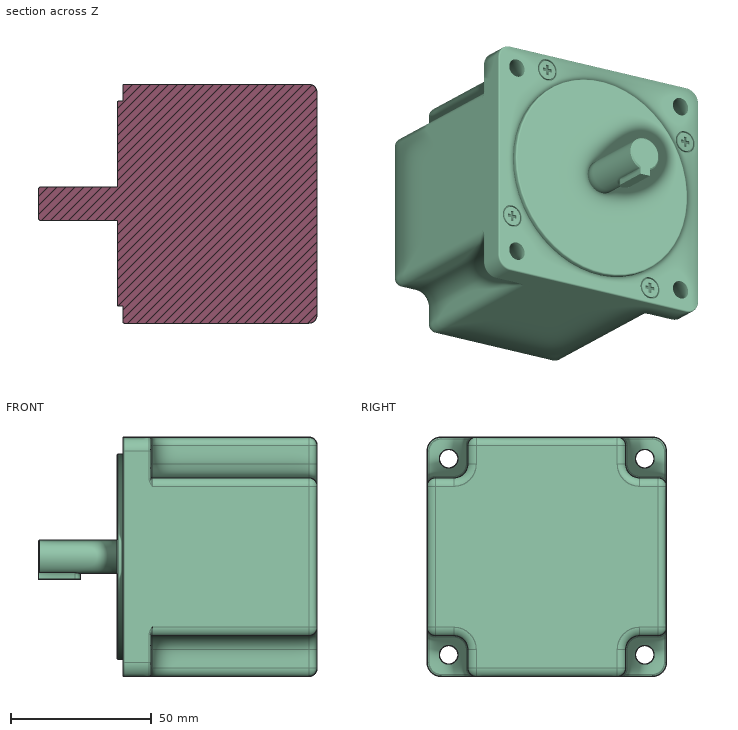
import cadquery as cq
import math


side = 85.0
housing_length = 69.0
body_edge_radius = 3.0

flange_thickness = 10.0
flange_corner_radius = 5.0
flange_front_fillet = 0.5
flange_back_fillet = 0.7

relief_size = 14.5
relief_inner_radius = 5.0
relief_root_fillet = 0.5

pilot_diameter = 73.0
pilot_height = 2.0
pilot_fillet = 0.5

shaft_diameter = 12.0
shaft_length = 30.0
shaft_chamfer = 0.5
key_width = 4.0
key_length = 15.0
key_reach = 8.0

hole_diameter = 6.5
hole_spacing = 69.6

screw_count = 4
screw_circle_radius = 42.8
first_screw_angle = 59.3
screw_seat_diameter = 8.0
screw_head_diameter = 6.8
screw_seat_depth = 1.0
cross_length = 3.8
cross_arm_width = 1.2
cross_depth = 1.0

half_side = side / 2
corner_signs = [(1, 1), (-1, 1), (-1, -1), (1, -1)]
selection_margin = 0.1


def yz_plane(x):
    """Workplane across the motor axis: local x is +Y, local y is +Z, normal is +X."""
    return cq.Workplane("YZ", origin=(x, 0, 0))


def flange_back_edges(first_corner, second_corner):
    """Selector for edges on the flange's back face inside a (y, z) rectangle."""
    return cq.selectors.BoxSelector(
        (flange_thickness - selection_margin, *first_corner),
        (flange_thickness + selection_margin, *second_corner),
    )


def make_body():
    """Housing with a cross-shaped section: a square relieved along each long corner."""
    arm_width = side - 2 * relief_size
    body = yz_plane(0).rect(side, arm_width).extrude(housing_length)
    body = body.union(yz_plane(0).rect(arm_width, side).extrude(housing_length))

    inner_reach = half_side - relief_size / 2
    inner_region = cq.selectors.BoxSelector(
        (0, -inner_reach, -inner_reach), (housing_length, inner_reach, inner_reach)
    )
    long_edges = cq.selectors.ParallelDirSelector(cq.Vector(1, 0, 0))
    body = body.edges(long_edges - inner_region).fillet(body_edge_radius)
    body = body.edges(long_edges & inner_region).fillet(relief_inner_radius)
    return body.faces(">X").edges().fillet(body_edge_radius)


def make_housing():
    """Body and flange in one piece, with a small fillet at the root of each relief.

    The root fillet is run around the body on an oversized plate, which is then
    trimmed to the rounded-square outline of the flange.
    """
    plate_side = 3 * side
    plate = yz_plane(0).rect(plate_side, plate_side).extrude(flange_thickness)
    outline = yz_plane(0).rect(side, side).extrude(housing_length)
    outline = outline.edges("|X").fillet(flange_corner_radius)
    body_root = flange_back_edges((-side, -side), (side, side))

    housing = plate.union(make_body()).edges(body_root).fillet(relief_root_fillet)
    housing = housing.intersect(outline)
    housing = housing.faces("<X").edges().fillet(flange_front_fillet)

    corner_start = half_side - relief_size + relief_inner_radius / 2
    for y_sign, z_sign in corner_signs:
        outer_edges = flange_back_edges(
            (y_sign * corner_start, z_sign * corner_start), (y_sign * side, z_sign * side)
        )
        housing = housing.edges(outer_edges).fillet(flange_back_fillet)
    return housing


def make_pilot():
    pilot = yz_plane(0).circle(pilot_diameter / 2).extrude(-pilot_height)
    return pilot.faces("<X").edges().fillet(pilot_fillet)


def make_shaft():
    shaft = yz_plane(0).circle(shaft_diameter / 2).extrude(-shaft_length)
    return shaft.faces("<X").edges().chamfer(shaft_chamfer)


def make_key():
    """Key on the -Z side of the shaft, flush with its tip and rounded at the inner end."""
    tip = -shaft_length
    inner_end = tip + key_length
    round_start = inner_end - key_width / 2
    return (
        cq.Workplane("XY")
        .moveTo(tip, -key_width / 2)
        .lineTo(round_start, -key_width / 2)
        .threePointArc((inner_end, 0), (round_start, key_width / 2))
        .lineTo(tip, key_width / 2)
        .close()
        .extrude(-key_reach)
    )


def make_mounting_holes():
    holes = yz_plane(0).rect(hole_spacing, hole_spacing, forConstruction=True).vertices()
    return holes.circle(hole_diameter / 2).extrude(flange_thickness)


def make_screw_cut(angle):
    """Ring gap around a flush screw head plus the cross recess in the head."""
    y = screw_circle_radius * math.cos(math.radians(angle))
    z = screw_circle_radius * math.sin(math.radians(angle))
    face = yz_plane(0).center(y, z)
    gap = face.circle(screw_seat_diameter / 2).circle(screw_head_diameter / 2).extrude(screw_seat_depth)
    upright = face.rect(cross_arm_width, cross_length).extrude(cross_depth)
    crossbar = face.rect(cross_length, cross_arm_width).extrude(cross_depth)
    return gap.union(upright).union(crossbar)


result = make_housing().union(make_pilot()).union(make_shaft()).union(make_key())
result = result.cut(make_mounting_holes())
for screw in range(screw_count):
    result = result.cut(make_screw_cut(first_screw_angle + screw * 360 / screw_count))